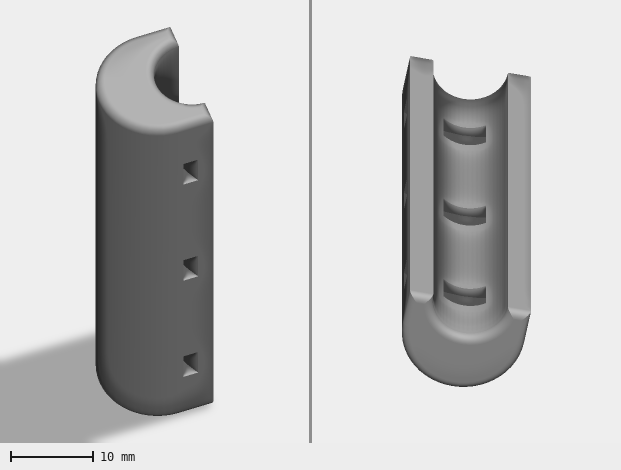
import cadquery as cq
import math

length = 60.0
outer_radius = 7.5
bore_radius = 4.6
depth = 12.0
end_fillet = 1.0

channel_count = 3
channel_pitch = length / channel_count
channel_height = 4.25
channel_mouth_start = 2.0
channel_mouth_width = 1.9
channel_inner_radius = 14.7

rim_y = depth - outer_radius


def sleeve_body():
    """U-shaped sleeve with both end outlines rounded."""
    profile = (
        cq.Workplane("XY")
        .moveTo(-outer_radius, rim_y)
        .lineTo(-outer_radius, 0)
        .threePointArc((0, -outer_radius), (outer_radius, 0))
        .lineTo(outer_radius, rim_y)
        .lineTo(bore_radius, rim_y)
        .threePointArc((0, rim_y - bore_radius), (-bore_radius, rim_y))
        .close()
    )
    return profile.extrude(length).faces("<Z or >Z").edges().fillet(end_fillet)


def channel(mid_z):
    """Ring cutter whose concentric walls meet the side walls at the mouth edges."""
    mouth_y = rim_y - channel_mouth_start
    center_y = mouth_y + math.sqrt(channel_inner_radius**2 - outer_radius**2)
    outer_wall_radius = math.hypot(outer_radius, center_y - mouth_y + channel_mouth_width)
    return (
        cq.Workplane("XY", origin=(0, center_y, mid_z - channel_height / 2))
        .circle(outer_wall_radius)
        .circle(channel_inner_radius)
        .extrude(channel_height)
    )


result = sleeve_body()
for index in range(channel_count):
    result = result.cut(channel((index + 0.5) * channel_pitch))